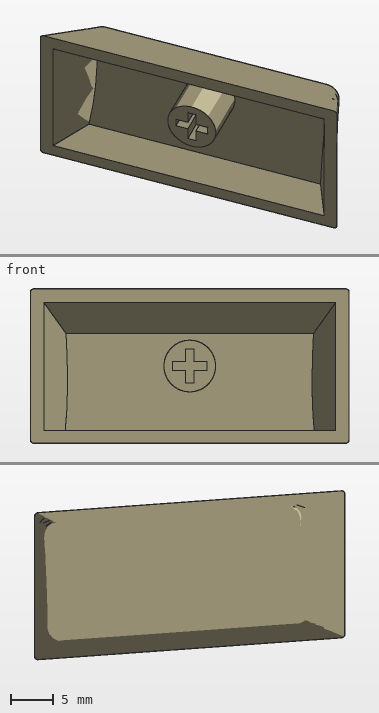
import cadquery as cq
import math

WIDTH = 37.1
HEIGHT = 18.0
MOUTH_CORNER_RADIUS = 0.45
MOUTH_WALL_SIDE = 1.6
MOUTH_WALL_TOP = 1.65
MOUTH_WALL_BOTTOM = 1.5

BACK_TOP_Y = 8.8
BACK_TOP_HEIGHT = 13.7
BACK_MIDDLE_Y = 8.35
BACK_MIDDLE_HEIGHT = 7.9
BACK_BOTTOM_Y = 5.95
BACK_WALL = 1.5
BACK_EDGE_RADIUS = 0.35

LOFT_OVERRUN = 1.1
LOFT_SIDE_INSET = 3.4
LOFT_CORNER_RADIUS = 1.93
POCKET_SIDE_INSET = 2.85

STEM_DIAMETER = 6.0
STEM_RECESS = 1.0
CROSS_LENGTH = 3.97
CROSS_WIDTH = 1.0
CROSS_DEPTH = 4.0

BOTTOM_Z = -HEIGHT / 2
TOP_Z = HEIGHT / 2
BACK_LEAN = (BACK_TOP_Y - BACK_BOTTOM_Y) / BACK_TOP_HEIGHT
TOP_WALL_SLOPE = (HEIGHT - BACK_TOP_HEIGHT) / BACK_TOP_Y


def rounded_rectangle(width, height, radius):
    sketch = cq.Sketch().rect(width, height)
    if radius > 0:
        sketch = sketch.vertices().fillet(radius)
    return sketch


def tapered_block(width, bottom_z, top_z, mouth_radius, side_inset, end_y, end_radius):
    """Loft from the mouth to a leaning end plane that meets the bottom wall at end_y."""
    height = top_z - bottom_z
    rise = (height - TOP_WALL_SLOPE * end_y) / (1 + TOP_WALL_SLOPE * BACK_LEAN)
    end_length = rise * math.hypot(1, BACK_LEAN)
    mouth_plane = cq.Plane((0, 0, (bottom_z + top_z) / 2), (1, 0, 0), (0, -1, 0))
    end_plane = cq.Plane(
        (0, end_y + BACK_LEAN * rise / 2, bottom_z + rise / 2),
        (1, 0, 0),
        (0, -1, BACK_LEAN),
    )
    mouth = rounded_rectangle(width, height, mouth_radius)
    end = rounded_rectangle(width - 2 * side_inset, end_length, end_radius)
    return (
        cq.Workplane(mouth_plane)
        .placeSketch(mouth, end.moved(mouth_plane.location.inverse * end_plane.location))
        .loft(ruled=True)
    )


def space_before_back(wall):
    """Full-width region in front of the back arc, shifted forward by the wall thickness."""
    lower = (BACK_BOTTOM_Y - wall, BOTTOM_Z)
    middle = (BACK_MIDDLE_Y - wall, BOTTOM_Z + BACK_MIDDLE_HEIGHT)
    upper = (BACK_TOP_Y - wall, BOTTOM_Z + BACK_TOP_HEIGHT)
    return (
        cq.Workplane("YZ")
        .moveTo(0, BOTTOM_Z)
        .lineTo(*lower)
        .threePointArc(middle, upper)
        .lineTo(upper[0], TOP_Z)
        .lineTo(0, TOP_Z)
        .close()
        .extrude(WIDTH / 2, both=True)
    )


def outer_body():
    block = tapered_block(
        WIDTH, BOTTOM_Z, TOP_Z, MOUTH_CORNER_RADIUS,
        LOFT_SIDE_INSET, BACK_BOTTOM_Y + LOFT_OVERRUN, LOFT_CORNER_RADIUS,
    )
    body = block.intersect(space_before_back(0))
    return body.faces(">Y").edges().fillet(BACK_EDGE_RADIUS)


def pocket():
    bottom_z = BOTTOM_Z + MOUTH_WALL_BOTTOM
    floor_bottom_y = BACK_BOTTOM_Y - BACK_WALL + BACK_LEAN * MOUTH_WALL_BOTTOM
    block = tapered_block(
        WIDTH - 2 * MOUTH_WALL_SIDE, bottom_z, TOP_Z - MOUTH_WALL_TOP, 0,
        POCKET_SIDE_INSET, floor_bottom_y + LOFT_OVERRUN, 0,
    )
    return block.intersect(space_before_back(BACK_WALL))


def stem():
    """Cylinder that runs from just inside the mouth into the back wall."""
    back_y = BACK_MIDDLE_Y - BACK_WALL / 2
    face = cq.Workplane("XZ", origin=(0, STEM_RECESS, 0))
    cylinder = face.circle(STEM_DIAMETER / 2).extrude(STEM_RECESS - back_y)
    return cylinder.intersect(space_before_back(BACK_WALL / 2))


def cross_socket():
    face = cq.Workplane("XZ", origin=(0, STEM_RECESS, 0))
    across = face.rect(CROSS_LENGTH, CROSS_WIDTH).extrude(-CROSS_DEPTH)
    upright = face.rect(CROSS_WIDTH, CROSS_LENGTH).extrude(-CROSS_DEPTH)
    return across.union(upright)


result = outer_body().cut(pocket()).union(stem()).cut(cross_socket())